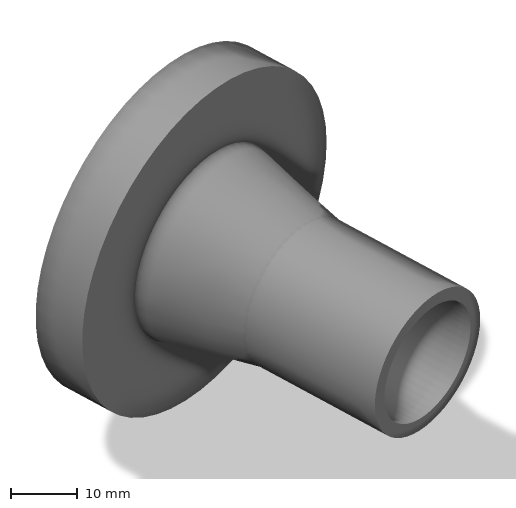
import cadquery as cq

flange_diameter = 58.0
overall_length = 52.0
bore_diameter = 20.4

flange_thickness = 9.0
neck_length = 18.0
neck_base_diameter = 33.0
tube_diameter = 25.0

tube_start = flange_thickness + neck_length


def turned_body():
    """Flange, tapered neck and straight tube as one revolved half-section."""
    half_section = (
        cq.Workplane("XY")
        .moveTo(0, 0)
        .lineTo(0, flange_diameter / 2)
        .lineTo(flange_thickness, flange_diameter / 2)
        .lineTo(flange_thickness, neck_base_diameter / 2)
        .lineTo(tube_start, tube_diameter / 2)
        .lineTo(overall_length, tube_diameter / 2)
        .lineTo(overall_length, 0)
        .close()
    )
    return half_section.revolve(360, (0, 0, 0), (1, 0, 0))


def through_bore():
    """Straight bore running the full length of the part."""
    return cq.Workplane("YZ").circle(bore_diameter / 2).extrude(overall_length)


result = turned_body().cut(through_bore())